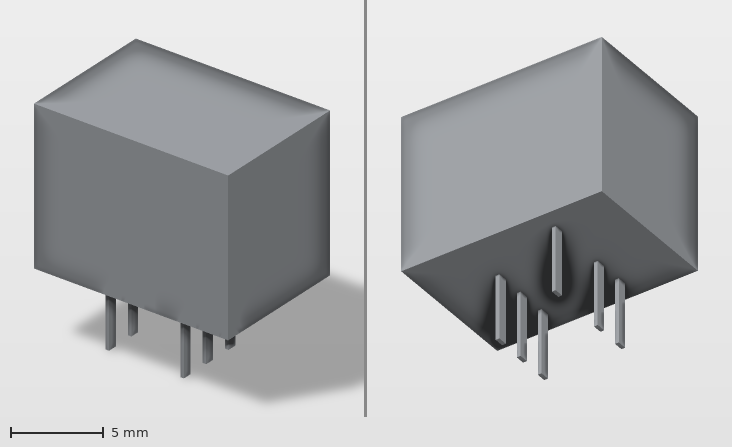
import cadquery as cq

total_height = 14.44
housing_length = 13.2
housing_width = 9.1

pin_length = 4.25
pin_thickness = 0.25
pin_width = 0.6
column_spacing = 5.08
column_offset = -0.03
row_pitch = 1.99
row_count = 4
left_rows = (0, 1, 3)
right_rows = (0, 1, 2)

housing_height = total_height - pin_length


def make_housing():
    """Plain rectangular block standing on the plane Z = 0."""
    return cq.Workplane("XY").box(
        housing_length, housing_width, housing_height, centered=(True, True, False)
    )


def make_pin(x, y):
    """Flat pin hanging from the underside of the housing."""
    return (
        cq.Workplane("XY")
        .center(x, y)
        .rect(pin_thickness, pin_width)
        .extrude(-pin_length)
    )


def row_y(row):
    """Y position of a row, with the row grid centred on the housing."""
    return (row - (row_count - 1) / 2) * row_pitch


left_x = column_offset - column_spacing / 2
right_x = column_offset + column_spacing / 2

housing = make_housing()

pins = []
for column_x, rows in ((left_x, left_rows), (right_x, right_rows)):
    for row in rows:
        pins.append(make_pin(column_x, row_y(row)))

result = cq.Compound.makeCompound([housing.val(), *[pin.val() for pin in pins]])